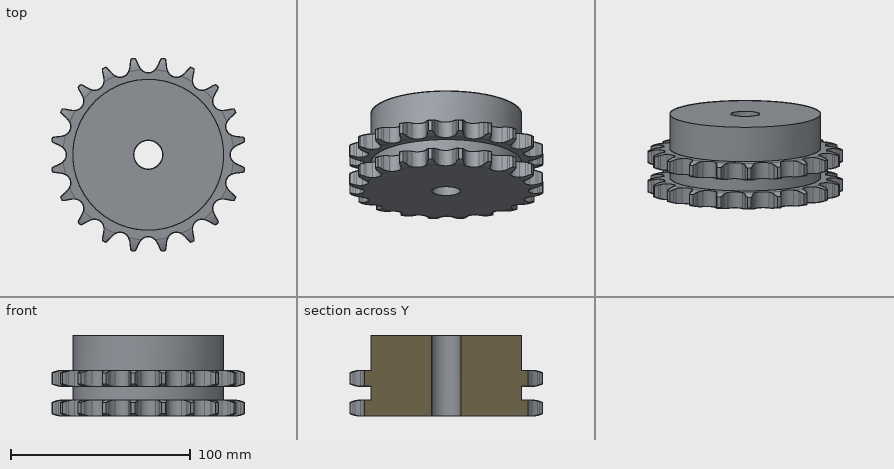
import cadquery as cq
import math

OUTER_SIZE = 107.4
TOTAL_HEIGHT = 45.0
TOOTH_COUNT = 20
CHAIN_PITCH = 15.9
STRAND_SPACING = 16.5
TOOTH_WIDTH = 9.0
HUB_DIAMETER = 84.0
BORE_DIAMETER = 16.0

SEAT_RADIUS = 5.2
SEAT_ANGLE = 52.0
WORKING_RADIUS = 13.3
WORKING_ANGLE = 15.2
FLAT_LENGTH = 1.3
TOPPING_RADIUS = 8.4

SIDE_RADIUS = 16.0
SIDE_DROP = 1.5

PITCH_RADIUS = CHAIN_PITCH / (2 * math.sin(math.pi / TOOTH_COUNT))
ROOT_RADIUS = PITCH_RADIUS - SEAT_RADIUS


def turn(start, heading, radius, sweep):
    """Middle and end points of a left-turning arc; a negative radius and sweep turn right."""
    def along(angle):
        new_heading = math.radians(heading + angle)
        old_heading = math.radians(heading)
        return (
            start[0] + radius * (math.sin(new_heading) - math.sin(old_heading)),
            start[1] - radius * (math.cos(new_heading) - math.cos(old_heading)),
        )
    return along(sweep / 2), along(sweep)


seat_bottom = (0, ROOT_RADIUS)
_, seat_end = turn(seat_bottom, 0, SEAT_RADIUS, SEAT_ANGLE)
working_mid, working_end = turn(seat_end, SEAT_ANGLE, WORKING_RADIUS, WORKING_ANGLE)
flat_heading = SEAT_ANGLE + WORKING_ANGLE
flat_end = (
    working_end[0] + FLAT_LENGTH * math.cos(math.radians(flat_heading)),
    working_end[1] + FLAT_LENGTH * math.sin(math.radians(flat_heading)),
)
tip_rise = OUTER_SIZE / 2 - flat_end[1]
tip_heading = math.degrees(
    math.acos(math.cos(math.radians(flat_heading)) + tip_rise / TOPPING_RADIUS)
)
topping_mid, tip_corner = turn(flat_end, flat_heading, -TOPPING_RADIUS, tip_heading - flat_heading)
TIP_RADIUS = math.hypot(*tip_corner)


def mirrored(point):
    """The matching point on the left half of the gap."""
    return (-point[0], point[1])


def tooth_gap():
    """Cutter for one gap, open beyond the tooth tips."""
    clear_y = TIP_RADIUS + SEAT_RADIUS
    return (
        cq.Workplane("XY")
        .moveTo(*mirrored(seat_end))
        .threePointArc(seat_bottom, seat_end)
        .threePointArc(working_mid, working_end)
        .lineTo(*flat_end)
        .threePointArc(topping_mid, tip_corner)
        .lineTo(tip_corner[0], clear_y)
        .lineTo(-tip_corner[0], clear_y)
        .lineTo(*mirrored(tip_corner))
        .threePointArc(mirrored(topping_mid), mirrored(flat_end))
        .lineTo(*mirrored(working_end))
        .threePointArc(mirrored(working_mid), mirrored(seat_end))
        .close()
        .extrude(TOOTH_WIDTH)
    )


def tooth_row():
    """Toothed disc standing on Z = 0, its sides curving inwards towards the tips."""
    side_run = math.sqrt(SIDE_RADIUS**2 - (SIDE_RADIUS - SIDE_DROP) ** 2)
    side_start = TIP_RADIUS - side_run
    mid_angle = math.asin(side_run / SIDE_RADIUS) / 2
    mid_x = side_start + SIDE_RADIUS * math.sin(mid_angle)
    mid_drop = SIDE_RADIUS * (1 - math.cos(mid_angle))
    disc = (
        cq.Workplane("XZ")
        .lineTo(side_start, 0)
        .threePointArc((mid_x, mid_drop), (TIP_RADIUS, SIDE_DROP))
        .lineTo(TIP_RADIUS, TOOTH_WIDTH - SIDE_DROP)
        .threePointArc((mid_x, TOOTH_WIDTH - mid_drop), (side_start, TOOTH_WIDTH))
        .lineTo(0, TOOTH_WIDTH)
        .close()
        .revolve(360, (0, 0, 0), (0, 1, 0))
    )
    gap = tooth_gap()
    for index in range(TOOTH_COUNT):
        disc = disc.cut(gap.rotate((0, 0, 0), (0, 0, 1), index * 360 / TOOTH_COUNT))
    return disc


row = tooth_row()
hub = cq.Workplane("XY").circle(HUB_DIAMETER / 2).extrude(TOTAL_HEIGHT)
bore = cq.Workplane("XY").circle(BORE_DIAMETER / 2).extrude(TOTAL_HEIGHT)

result = hub.union(row).union(row.translate((0, 0, STRAND_SPACING))).cut(bore)